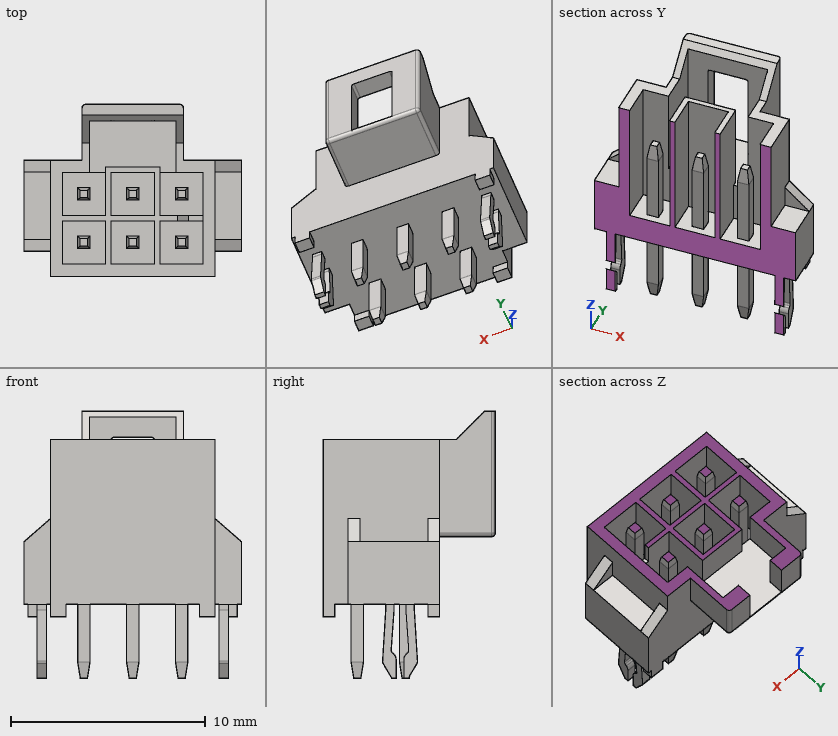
import cadquery as cq

total_height = 13.71
total_width = 11.16
total_depth = 8.84

body_width = 8.46
body_depth = 5.98
body_bottom = 3.8
body_top = 12.27
foot_drop = 0.65
foot_width = 0.81
foot_depth = 0.6
back_foot_outer_x = 5.37

column_count = 3
row_count = 2
column_pitch = 2.51
row_pitch = 2.48
cell_size = 2.21
cell_floor = 5.3
first_row_y = 1.75
cell_wall = row_pitch - cell_size

pin_width = 0.65
pin_tip_width = 0.37
pin_taper_length = 0.84
pin_top = 9.87

gap_chamfer = 0.58
gap_width = 0.74
gap_floor = 8.23

latch_width = 5.21
latch_bottom = 7.27
latch_pocket_width = 4.41
latch_back_wall = 0.86
latch_floor_thickness = 0.22
latch_lip = 0.56
latch_fillet = 0.2
window_width = 2.22
window_top = 12.37
window_corner_radius = 0.14

wing_front_y = 1.29
wing_top = 7.02
rib_top = 8.2
rib_thickness = 0.6

clip_inner_x = 4.41
clip_thickness = 0.51
clip_center_y = 3.95
clip_embed = 0.27
clip_straight_end = 3.51
clip_outer_root = 0.74
clip_outer_barb = 0.9
clip_barb_height = 0.82
clip_outer_tip = 0.43
clip_inner_tip = 0.19
clip_inner_neck = 0.45
clip_inner_root = 0.3
clip_hook_bottom = 1.12
clip_barb_radius = 0.22
clip_hook_radius = 0.41
clip_neck_radius = 0.16

body_half = body_width / 2
latch_floor = latch_bottom + latch_floor_thickness
wing_half = total_width / 2
column_x = [(i - (column_count - 1) / 2) * column_pitch for i in range(column_count)]
row_y = [first_row_y + i * row_pitch for i in range(row_count)]
cells_back_y = row_y[-1] + cell_size / 2
middle_cell_back_y = cells_back_y + cell_wall
middle_cell_width = 2 * column_pitch - cell_size


def block(x_min, x_max, y_min, y_max, z_min, z_max):
    """Axis-aligned box between the given limits."""
    size = (x_max - x_min, y_max - y_min, z_max - z_min)
    return cq.Workplane("XY").box(*size, centered=False).translate((x_min, y_min, z_min))


def centered_block(width, y_min, y_max, z_min, z_max):
    """Box centred on X = 0."""
    return block(-width / 2, width / 2, y_min, y_max, z_min, z_max)


def both_sides(shape):
    """The shape together with its mirror image across X = 0."""
    return shape.union(shape.mirror("YZ"))


def make_latch():
    """Solid latch block with its sloped top; the pocket is cut later."""
    slope_end_y = total_depth - latch_lip - (total_height - body_top)
    latch = (
        cq.Workplane("YZ")
        .moveTo(body_depth, latch_bottom)
        .lineTo(total_depth, latch_bottom)
        .lineTo(total_depth, total_height)
        .lineTo(total_depth - latch_lip, total_height)
        .lineTo(slope_end_y, body_top)
        .lineTo(body_depth, body_top)
        .close()
        .extrude(latch_width / 2, both=True)
    )
    back_upright_edges = latch.faces(">Y").edges("|Z")
    bottom_side_edges = latch.faces("<Z").edges("|Y")
    bottom_back_edge = latch.faces("<Z").edges(">Y")
    rounded = back_upright_edges.add(bottom_side_edges).add(bottom_back_edge)
    return rounded.fillet(latch_fillet)


def make_latch_cutter():
    """Latch pocket around the middle cell, plus the window through the back wall."""
    pocket_back_y = total_depth - latch_back_wall
    pocket = centered_block(latch_pocket_width, cells_back_y, pocket_back_y, latch_floor, total_height)
    middle_cell = centered_block(
        middle_cell_width, cells_back_y, middle_cell_back_y, latch_floor, total_height
    )
    window = centered_block(window_width, pocket_back_y, total_depth, latch_floor, window_top)
    window = window.faces(">Z").edges("|Y").fillet(window_corner_radius)
    return pocket.cut(middle_cell).union(window)


def make_cells():
    """All contact cells, open at the top."""
    centers = [(x, y) for x in column_x for y in row_y]
    return (
        cq.Workplane("XY", origin=(0, 0, cell_floor))
        .pushPoints(centers)
        .rect(cell_size, cell_size)
        .extrude(body_top - cell_floor)
    )


def make_wall_gap():
    """Chamfered gap in the wall between the two right-hand cells."""
    cell_right_x = column_x[-1] + cell_size / 2
    gap_left_x = cell_right_x - gap_width
    return (
        cq.Workplane("XZ", origin=(0, row_y[-1] - cell_size / 2, 0))
        .moveTo(gap_left_x - gap_chamfer, body_top)
        .lineTo(gap_left_x, body_top - gap_chamfer)
        .lineTo(gap_left_x, gap_floor)
        .lineTo(cell_right_x, gap_floor)
        .lineTo(cell_right_x, body_top)
        .close()
        .extrude(cell_wall)
    )


def make_wing():
    """Right-hand wing with a sloped rib at its front and back."""
    wing = block(body_half, wing_half, wing_front_y, body_depth, body_bottom, wing_top)
    for rib_back_y in (wing_front_y + rib_thickness, body_depth):
        rib = (
            cq.Workplane("XZ", origin=(0, rib_back_y, 0))
            .moveTo(body_half, wing_top)
            .lineTo(wing_half, wing_top)
            .lineTo(body_half, rib_top)
            .close()
            .extrude(rib_thickness)
        )
        wing = wing.union(rib)
    return wing


def make_feet():
    """Right-hand standoff feet: one at the body front, one at the wing back."""
    foot_bottom = body_bottom - foot_drop
    front = block(body_half - foot_width, body_half, 0, foot_depth, foot_bottom, body_bottom)
    back_foot_inner_x = back_foot_outer_x - foot_width
    back_foot_front_y = body_depth - foot_depth
    back = block(
        back_foot_inner_x, back_foot_outer_x, back_foot_front_y, body_depth, foot_bottom, body_bottom
    )
    return front.union(back)


def make_pin(x, y):
    """Square contact pin tapered at both ends."""
    shank_bottom = pin_taper_length
    shank_top = pin_top - pin_taper_length
    pin = (
        cq.Workplane("XY", origin=(x, y, shank_bottom))
        .rect(pin_width, pin_width)
        .extrude(shank_top - shank_bottom)
    )
    for shank_end, tip in ((shank_bottom, 0), (shank_top, pin_top)):
        taper = (
            cq.Workplane("XY", origin=(x, y, shank_end))
            .rect(pin_width, pin_width)
            .workplane(offset=tip - shank_end)
            .rect(pin_tip_width, pin_tip_width)
            .loft(ruled=True)
        )
        pin = pin.union(taper)
    return pin


def make_clip():
    """Right-hand board lock: two barbed legs facing away from each other."""
    root = body_bottom + clip_embed
    leg = (
        cq.Workplane("YZ", origin=(clip_inner_x, clip_center_y, 0))
        .moveTo(clip_inner_root, root)
        .lineTo(clip_outer_root, root)
        .lineTo(clip_outer_root, clip_straight_end)
        .lineTo(clip_outer_barb, clip_barb_height)
        .lineTo(clip_outer_tip, 0)
        .lineTo(clip_inner_tip, 0)
        .lineTo(clip_inner_tip, clip_hook_bottom)
        .lineTo(clip_inner_neck, clip_hook_bottom + clip_inner_neck - clip_inner_tip)
        .lineTo(clip_inner_root, clip_straight_end)
        .close()
        .extrude(clip_thickness)
    )
    middle_x = clip_inner_x + clip_thickness / 2
    rounded_corners = (
        (clip_outer_barb, clip_barb_height, clip_barb_radius),
        (clip_inner_tip, clip_hook_bottom, clip_hook_radius),
        (clip_inner_neck, clip_hook_bottom + clip_inner_neck - clip_inner_tip, clip_neck_radius),
    )
    for offset_y, z, radius in rounded_corners:
        corner = cq.selectors.NearestToPointSelector((middle_x, clip_center_y + offset_y, z))
        leg = leg.edges("|X").edges(corner).fillet(radius)
    return leg.union(leg.mirror("XZ", (0, clip_center_y, 0)))


result = centered_block(body_width, 0, body_depth, body_bottom, body_top)
result = result.union(make_latch())
result = result.cut(make_latch_cutter())
result = result.cut(make_cells())
result = result.cut(make_wall_gap())
for side_part in (make_wing(), make_feet(), make_clip()):
    result = result.union(both_sides(side_part))
for pin_x in column_x:
    for pin_y in row_y:
        result = result.union(make_pin(pin_x, pin_y))